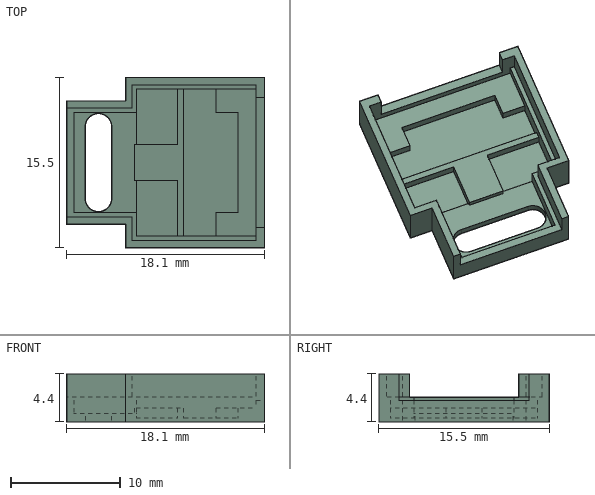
import cadquery as cq

length = 18.05
body_width = 15.53
height = 4.4

tab_length = 5.37
tab_width = 11.27
wall = 0.67
shoulder_wall = 0.6
end_wall = 0.8

shelf_width = 0.4
shelf_z = 2.3

body_floor_z = 0.4
tab_floor_z = 0.8
raised_z = 1.3
end_opening_z = 2.0

upper_cavity_start = tab_length + shoulder_wall
body_floor_start = upper_cavity_start + shelf_width
stem_overhang = 0.2
stem_start = body_floor_start - stem_overhang
bar_start = 10.13
bar_end = 10.67
rear_arm_start = 13.62
rear_pad_start = 15.63
cavity_end = length - end_wall

upper_tab_width = tab_width - 2 * wall
upper_body_width = body_width - 2 * wall
lower_tab_width = upper_tab_width - 2 * shelf_width
lower_body_width = upper_body_width - 2 * shelf_width
stem_width = 3.3
rear_notch_width = 9.1
end_opening_width = 11.87

slot_length = 8.93
slot_width = 2.4
slot_center_x = 2.9
slot_angle = 90


def block(x_start, x_end, width, z_bottom, z_top):
    """Box symmetric about the XZ plane, between two X and two Z limits."""
    return (
        cq.Workplane("XY")
        .box(x_end - x_start, width, z_top - z_bottom, centered=(False, True, False))
        .translate((x_start, 0, z_bottom))
    )


def make_shell():
    """Stepped block hollowed down to the shelf, open at both X ends."""
    shell = block(0, length, tab_width, 0, height)
    shell = shell.union(block(tab_length, length, body_width, 0, height))
    shell = shell.cut(block(0, cavity_end, upper_tab_width, shelf_z, height))
    shell = shell.cut(block(upper_cavity_start, cavity_end, upper_body_width, shelf_z, height))
    return shell.cut(block(cavity_end, length, end_opening_width, end_opening_z, height))


def cut_lower_cavity(shell):
    """Cut the cavity inside the shelf, deeper in the body than in the tab."""
    shell = shell.cut(block(wall, body_floor_start, lower_tab_width, tab_floor_z, shelf_z))
    return shell.cut(block(body_floor_start, cavity_end, lower_body_width, body_floor_z, shelf_z))


def add_t_rib(tray):
    """T-shaped rib: a bar across the body with a stem reaching over the tab floor."""
    tray = tray.union(block(bar_start, bar_end, lower_body_width, 0, raised_z))
    return tray.union(block(stem_start, bar_end, stem_width, 0, raised_z))


def add_rear_pad(tray):
    """C-shaped pad against the end wall, its arms reaching toward the bar."""
    pad = block(rear_arm_start, cavity_end, lower_body_width, 0, raised_z)
    pad = pad.cut(block(rear_arm_start, rear_pad_start, rear_notch_width, 0, raised_z))
    return tray.union(pad)


def cut_slot(tray):
    """Cut the round-ended slot through the tab floor."""
    slot = (
        cq.Workplane("XY")
        .center(slot_center_x, 0)
        .slot2D(slot_length, slot_width, slot_angle)
        .extrude(tab_floor_z)
    )
    return tray.cut(slot)


tray = make_shell()
tray = cut_lower_cavity(tray)
tray = add_t_rib(tray)
tray = add_rear_pad(tray)
result = cut_slot(tray)